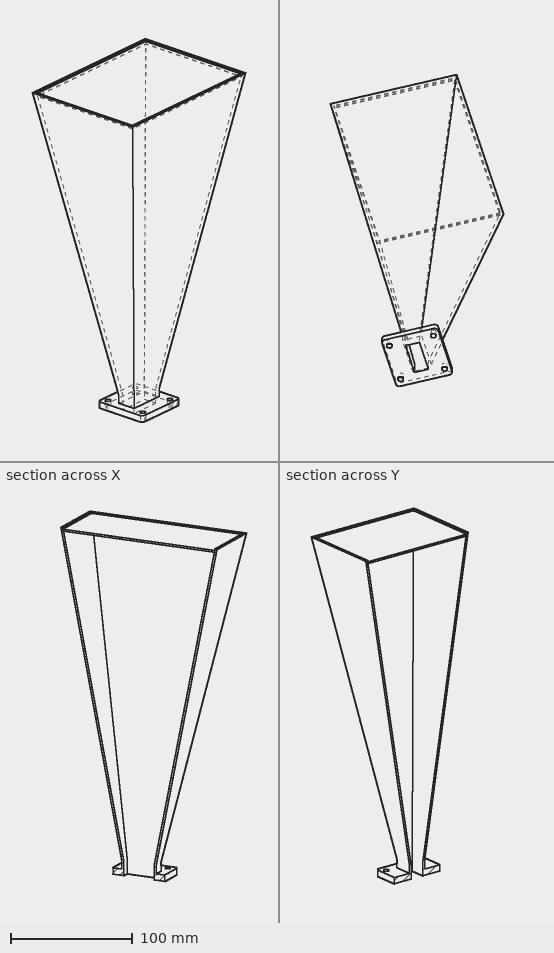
import cadquery as cq

total_height = 290.0
flange_thickness = 5.8
flare_start = 13.0

throat_x = 16.5
throat_y = 32.2
mouth_x = 107.5
mouth_y = 143.5
wall = 2.3

flange_side = 47.8
flange_corner_radius = 3.2
hole_diameter = 4.4
hole_pitch_x = 37.5
hole_pitch_y = 34.2

window_thickness = 2.0
window_recess = 1.0

window_top = total_height - window_recess
window_bottom = window_top - window_thickness

bore_x = throat_x - 2 * wall
bore_y = throat_y - 2 * wall
cavity_mouth_x = mouth_x - 2 * wall
cavity_mouth_y = mouth_y - 2 * wall


def straight_duct(size_x, size_y, height):
    """Rectangular block standing on the base plane."""
    return cq.Workplane("XY").rect(size_x, size_y).extrude(height)


def flare(base_x, base_y, end_x, end_y):
    """Rectangular frustum from the end of the throat to the mouth."""
    return (
        cq.Workplane("XY", origin=(0, 0, flare_start))
        .rect(base_x, base_y)
        .workplane(offset=total_height - flare_start)
        .rect(end_x, end_y)
        .loft(ruled=True)
    )


def make_flange():
    """Rounded square plate with four mounting holes."""
    plate = straight_duct(flange_side, flange_side, flange_thickness)
    plate = plate.edges("|Z").fillet(flange_corner_radius)
    holes = (
        cq.Workplane("XY")
        .rect(hole_pitch_x, hole_pitch_y, forConstruction=True)
        .vertices()
        .circle(hole_diameter / 2)
        .extrude(flange_thickness)
    )
    return plate.cut(holes)


def make_cavity():
    """Inside of the throat and the flare."""
    bore = straight_duct(bore_x, bore_y, flare_start)
    return bore.union(flare(bore_x, bore_y, cavity_mouth_x, cavity_mouth_y))


def make_mouth_pocket():
    """Straight-sided recess that seats the window on the tapered cavity walls."""
    pocket_depth = total_height - window_bottom
    return straight_duct(cavity_mouth_x, cavity_mouth_y, pocket_depth).translate((0, 0, window_bottom))


def make_horn():
    """Flange, throat and flared shell as one hollow piece."""
    throat = straight_duct(throat_x, throat_y, flare_start)
    shell = flare(throat_x, throat_y, mouth_x, mouth_y)
    body = make_flange().union(throat).union(shell)
    return body.cut(make_cavity()).cut(make_mouth_pocket())


def make_window():
    """Thin rectangular plate seated in the mouth pocket."""
    plate = straight_duct(cavity_mouth_x, cavity_mouth_y, window_thickness)
    return plate.translate((0, 0, window_bottom))


horn = make_horn()
window = make_window()

result = cq.Compound.makeCompound([horn.val(), window.val()])